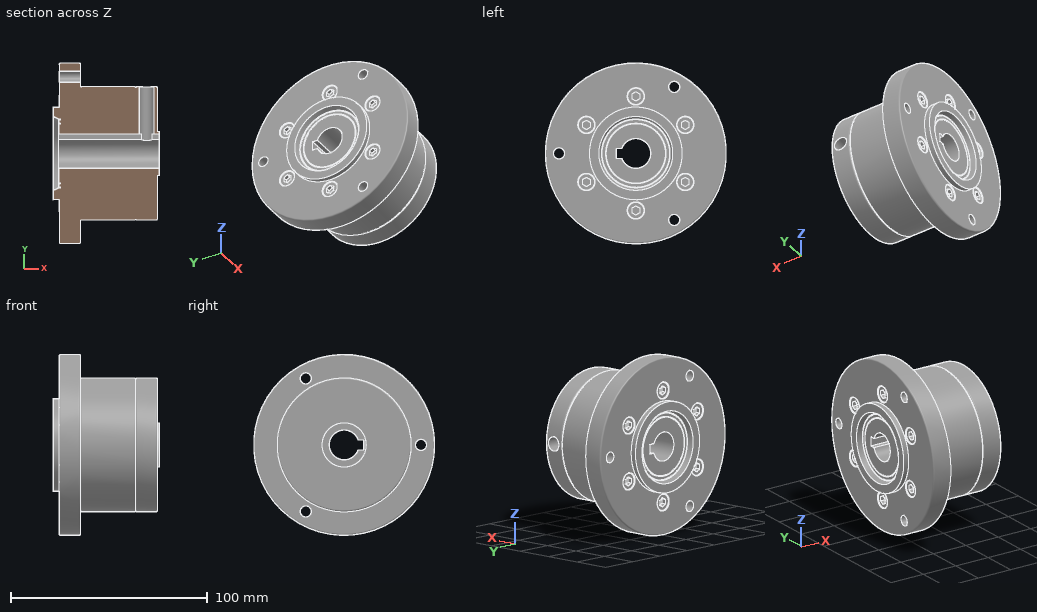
import cadquery as cq
import math

FLANGE_START = 3.0
FLANGE_END = 14.0
SLEEVE_END = 41.95
COVER_END = 53.1
TOTAL_LENGTH = 54.0

PILOT_RADIUS = 23.55
FLANGE_RADIUS = 46.0
BODY_RADIUS = 34.0
HUB_RADIUS = 11.2

FLANGE_FILLET = 0.8
SLEEVE_FILLET = 0.6
COVER_FILLET = 0.8

RECESS_DEPTH = 2.8
RECESS_MOUTH_RADIUS = 18.8
RECESS_FLOOR_RADIUS = 17.5

SEAL_OUTER_GROOVE_RADIUS = RECESS_FLOOR_RADIUS
SEAL_INNER_GROOVE_RADIUS = 15.4
SEAL_GAP = 0.3
SEAL_GROOVE_DEPTH = 0.9

BORE_DIAMETER = 15.0
KEYWAY_WIDTH = 5.0
KEYWAY_TOP = 9.8

SCREW_COUNT = 6
SCREW_CIRCLE_RADIUS = 29.0
SCREW_START_ANGLE = 90
COUNTERBORE_RADIUS = 4.4
SCREW_HEAD_RADIUS = 4.1
SCREW_HEAD_RECESS = 0.4
COUNTERBORE_DEPTH = 5.5
SOCKET_ACROSS_FLATS = 4.05
SOCKET_SIDES = 6
SOCKET_DEPTH = 2.5

MOUNTING_HOLE_COUNT = 3
MOUNTING_CIRCLE_RADIUS = 39.0
MOUNTING_START_ANGLE = 0
MOUNTING_HOLE_RADIUS = 2.8

SET_SCREW_RADIUS = 3.7


def cylinder(radius, start, end):
    """Cylinder on the X axis between two axial stations."""
    return cq.Workplane("YZ", origin=(start, 0, 0)).circle(radius).extrude(end - start)


def annulus(outer, inner, start, depth):
    """Ring on the X axis, cutting towards +X from the given station."""
    plane = cq.Workplane("YZ", origin=(start, 0, 0))
    return plane.circle(outer).circle(inner).extrude(depth)


def polar_points(count, radius, start_angle):
    """Evenly spaced (Y, Z) points; the start angle in degrees is measured from +Y towards +Z."""
    angles = [math.radians(start_angle + 360 * i / count) for i in range(count)]
    return [(radius * math.cos(a), radius * math.sin(a)) for a in angles]


def turned_body():
    pilot = cylinder(PILOT_RADIUS, 0, FLANGE_END)
    flange = cylinder(FLANGE_RADIUS, FLANGE_START, FLANGE_END).edges().fillet(FLANGE_FILLET)
    sleeve = cylinder(BODY_RADIUS, FLANGE_END, SLEEVE_END).edges().fillet(SLEEVE_FILLET)
    cover = cylinder(BODY_RADIUS, SLEEVE_END, COVER_END).edges().fillet(COVER_FILLET)
    hub = cylinder(HUB_RADIUS, COVER_END, TOTAL_LENGTH)
    return pilot.union(flange).union(sleeve).union(cover).union(hub)


def pilot_recess():
    mouth = cq.Workplane("YZ").circle(RECESS_MOUTH_RADIUS)
    recess = mouth.workplane(offset=RECESS_DEPTH).circle(RECESS_FLOOR_RADIUS).loft()
    for outer in (SEAL_OUTER_GROOVE_RADIUS, SEAL_INNER_GROOVE_RADIUS):
        recess = recess.union(annulus(outer, outer - SEAL_GAP, RECESS_DEPTH, SEAL_GROOVE_DEPTH))
    return recess


def keyed_bore():
    bore = cylinder(BORE_DIAMETER / 2, 0, TOTAL_LENGTH)
    keyway = cq.Workplane("XY").box(
        TOTAL_LENGTH, KEYWAY_TOP, KEYWAY_WIDTH, centered=(False, False, True)
    )
    return bore.union(keyway)


def screw_cuts():
    """Recess over each screw head, the gap around it and its hexagon socket."""
    gap = annulus(COUNTERBORE_RADIUS, SCREW_HEAD_RADIUS, FLANGE_START, COUNTERBORE_DEPTH)
    recess = cylinder(COUNTERBORE_RADIUS, FLANGE_START, FLANGE_START + SCREW_HEAD_RECESS)
    corner_diameter = SOCKET_ACROSS_FLATS / math.cos(math.pi / SOCKET_SIDES)
    socket = (
        cq.Workplane("YZ", origin=(FLANGE_START, 0, 0))
        .polygon(SOCKET_SIDES, corner_diameter)
        .extrude(SCREW_HEAD_RECESS + SOCKET_DEPTH)
        .rotate((0, 0, 0), (1, 0, 0), 90)
    )
    screw = gap.union(recess).union(socket)
    cuts = cq.Workplane("YZ")
    for y, z in polar_points(SCREW_COUNT, SCREW_CIRCLE_RADIUS, SCREW_START_ANGLE):
        cuts = cuts.add(screw.translate((0, y, z)))
    return cuts.combine()


def mounting_holes():
    return (
        cq.Workplane("YZ", origin=(FLANGE_START, 0, 0))
        .pushPoints(polar_points(MOUNTING_HOLE_COUNT, MOUNTING_CIRCLE_RADIUS, MOUNTING_START_ANGLE))
        .circle(MOUNTING_HOLE_RADIUS)
        .extrude(FLANGE_END - FLANGE_START)
    )


def set_screw_hole():
    """Radial hole at the middle of the cover, running from +Y into the bore."""
    middle = (SLEEVE_END + COVER_END) / 2
    return cq.Workplane("XZ", origin=(middle, 0, 0)).circle(SET_SCREW_RADIUS).extrude(-BODY_RADIUS)


result = turned_body()
for cut in (pilot_recess(), keyed_bore(), screw_cuts(), mounting_holes(), set_screw_hole()):
    result = result.cut(cut)